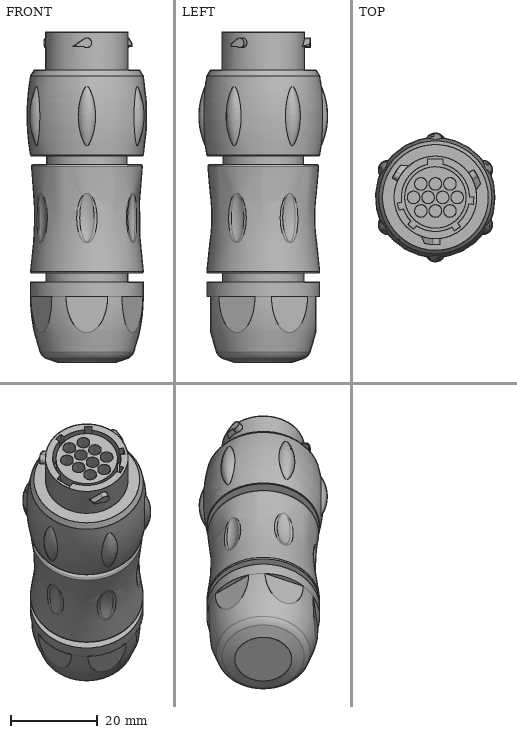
import cadquery as cq
import math


total_length = 76.0
nut_top = 18.55
grip_bottom = 20.6
grip_top = 45.55
collar_bottom = 47.6
collar_top = 67.3

nut_radius = 13.0
nut_straight_bottom = 15.2
nut_curve_radius = 38.0
nut_curve_bottom = 2.4
nut_corner_height = 1.0
nut_corner_radius = 9.4
nut_corner_bulge = 0.2
nut_end_radius = 6.55
nut_flat_distance = 12.1

grip_bottom_radius = 13.0
grip_top_radius = 12.8
grip_waist_radius = 12.1
grip_chamfer_height = 0.4
grip_chamfer_inset = 0.15
grip_top_rounding = 0.4

collar_end_radius = 13.0
collar_belly_diameter = 27.6
collar_shoulder_radius = 12.2
collar_shoulder_height = 1.4
collar_lip = 0.15

lower_neck_radius = 9.4
upper_neck_radius = 9.3
shell_radius = 9.5

grip_feature_count = 6
start_angle = 90.0

rib_axis_radius = 12.55
rib_apex_radius = 14.8
rib_half_height = 6.8
rib_end_radius = 13.4

dent_rise = 0.4
dent_rim_axis_radius = 30.4
dent_rim_apex_radius = 11.7
dent_rim_half_height = 5.55
dent_rim_end_radius = 12.25
dent_axis_radius = 15.2
dent_apex_radius = 11.4
dent_half_height = 5.3
dent_end_radius = 12.2

spindle_overrun = 1.1

insert_radius = 7.1
insert_recess = 0.4
groove_radius = 7.8
groove_depth = 6.1
keyway_radius = 8.8
main_keyway_width = 3.6
small_keyway_width = 1.7
main_keyway_angle = 90.0
small_keyway_angles = (-5.0, -55.0, 230.0, 194.0)

contact_diameter = 2.9
contact_depth = 6.1
contact_pitch = 3.35
contact_row_spacing = 3.1
contacts_per_row = (3, 4, 3)

pin_count = 3
pin_first_angle = 30.0
pin_height = 73.6
pin_diameter = 2.2
pin_radius = pin_diameter / 2
pin_reach = 10.9
pin_root = 8.4
tail_length = 3.2
tail_drop = 0.8
tail_outer_length = 2.35
tail_tip_root = 9.0


def around_axis(solid, angles):
    """Copies of a solid built on the +X side, turned to each angle about Z."""
    turned = cq.Workplane("XY")
    for angle in angles:
        turned = turned.add(solid.rotate((0, 0, 0), (0, 0, 1), angle))
    return turned.combine()


def even_angles(count, first):
    return [first + i * 360.0 / count for i in range(count)]


def spindle(axis_radius, apex_radius, half_height, end_radius, mid_height):
    """Upright barrel on the +X side, touching apex_radius at mid height and end_radius at its ends."""
    belly = abs(apex_radius - axis_radius)
    drop = belly - abs(end_radius - axis_radius)
    curve_radius = (half_height**2 + drop**2) / (2 * drop)
    overrun_height = half_height * spindle_overrun
    overrun_drop = curve_radius - math.sqrt(curve_radius**2 - overrun_height**2)
    overrun_radius = belly - overrun_drop
    return (
        cq.Workplane("XZ")
        .moveTo(0, -overrun_height)
        .lineTo(overrun_radius, -overrun_height)
        .threePointArc((belly, 0), (overrun_radius, overrun_height))
        .lineTo(0, overrun_height)
        .close()
        .revolve(360, (0, 0), (0, 1))
        .translate((axis_radius, 0, mid_height))
    )


def nut_curve(height):
    """Radius of the nut on its curved stretch, which runs tangent into the straight stretch."""
    below = nut_straight_bottom - height
    return nut_radius - nut_curve_radius + math.sqrt(nut_curve_radius**2 - below**2)


def make_body():
    """All turned surfaces in one revolved outline, from the nut up to the mating face."""
    nut_curve_middle = (nut_straight_bottom + nut_curve_bottom) / 2
    nut_curve_end = nut_curve(nut_curve_bottom)
    corner_mid_radius = (nut_curve_end + nut_corner_radius) / 2 + nut_corner_bulge / 2
    corner_mid_height = (nut_curve_bottom + nut_corner_height) / 2 - nut_corner_bulge / 2
    collar_curve_bottom = collar_bottom + collar_lip
    collar_curve_top = collar_top - collar_shoulder_height
    grip_rounding_center = grip_top_radius - grip_top_rounding
    grip_rounding_offset = grip_top_rounding * math.sin(math.radians(45))
    grip_rounding_mid_radius = grip_rounding_center + grip_rounding_offset
    grip_rounding_mid_height = grip_top - grip_top_rounding + grip_rounding_offset
    outline = (
        cq.Workplane("XZ")
        .lineTo(nut_end_radius, 0)
        .lineTo(nut_corner_radius, nut_corner_height)
        .threePointArc((corner_mid_radius, corner_mid_height), (nut_curve_end, nut_curve_bottom))
        .threePointArc(
            (nut_curve(nut_curve_middle), nut_curve_middle), (nut_radius, nut_straight_bottom)
        )
        .lineTo(nut_radius, nut_top)
        .lineTo(lower_neck_radius, nut_top)
        .lineTo(lower_neck_radius, grip_bottom)
        .lineTo(grip_bottom_radius - grip_chamfer_inset, grip_bottom)
        .lineTo(grip_bottom_radius, grip_bottom + grip_chamfer_height)
        .threePointArc(
            (grip_waist_radius, (grip_bottom + grip_top) / 2),
            (grip_top_radius, grip_top - grip_top_rounding),
        )
        .threePointArc(
            (grip_rounding_mid_radius, grip_rounding_mid_height),
            (grip_rounding_center, grip_top),
        )
        .lineTo(upper_neck_radius, grip_top)
        .lineTo(upper_neck_radius, collar_bottom)
        .lineTo(collar_end_radius - collar_lip, collar_bottom)
        .lineTo(collar_end_radius, collar_curve_bottom)
        .threePointArc(
            (collar_belly_diameter / 2, (collar_curve_bottom + collar_curve_top) / 2),
            (collar_end_radius, collar_curve_top),
        )
        .lineTo(collar_shoulder_radius, collar_top)
        .lineTo(shell_radius, collar_top)
        .lineTo(shell_radius, total_length)
        .lineTo(0, total_length)
        .close()
    )
    return outline.revolve(360, (0, 0), (0, 1))


def make_ribs():
    middle = (collar_bottom + collar_top - collar_shoulder_height) / 2
    rib = spindle(rib_axis_radius, rib_apex_radius, rib_half_height, rib_end_radius, middle)
    return around_axis(rib, even_angles(grip_feature_count, start_angle))


def cut_dents(body):
    middle = (grip_bottom + grip_top) / 2 + dent_rise
    rim = spindle(
        dent_rim_axis_radius, dent_rim_apex_radius, dent_rim_half_height, dent_rim_end_radius, middle
    )
    dish = spindle(dent_axis_radius, dent_apex_radius, dent_half_height, dent_end_radius, middle)
    for angle in even_angles(grip_feature_count, start_angle):
        body = body.cut(rim.rotate((0, 0, 0), (0, 0, 1), angle))
        body = body.cut(dish.rotate((0, 0, 0), (0, 0, 1), angle))
    return body


def make_flat_cutters():
    """Blocks that leave upright flats on the nut, below its straight rim."""
    block = cq.Workplane("XY").box(
        nut_radius, 2 * nut_radius, nut_straight_bottom, centered=(False, True, False)
    )
    block = block.translate((nut_flat_distance, 0, 0))
    return around_axis(block, even_angles(grip_feature_count, start_angle))


def make_pins():
    """Round bayonet pins with a pointed tail whose tip slants back, ending on one round outer face."""
    pin = (
        cq.Workplane("YZ", origin=(pin_root, 0, pin_height))
        .circle(pin_radius)
        .extrude(pin_reach - pin_root)
    )
    tip_distance = math.hypot(tail_length, tail_drop)
    upper_angle = math.atan2(tail_drop, tail_length) + math.asin(pin_radius / tip_distance)
    upper_length = math.sqrt(tip_distance**2 - pin_radius**2)
    tangent_point = (
        -tail_length + upper_length * math.cos(upper_angle),
        -tail_drop + upper_length * math.sin(upper_angle),
    )
    lower_point = (-math.sqrt(pin_radius**2 - tail_drop**2), -tail_drop)
    tail = (
        cq.Workplane("YZ", origin=(pin_root, 0, pin_height))
        .polyline([(-tail_length, -tail_drop), tangent_point, (0, 0), lower_point])
        .close()
        .extrude(pin_reach - pin_root)
    )
    tail_plan = (
        cq.Workplane("XY", origin=(0, 0, pin_height - pin_radius))
        .polyline(
            [
                (pin_root, 0),
                (pin_root, -tail_length),
                (tail_tip_root, -tail_length),
                (pin_reach, -tail_outer_length),
                (pin_reach, 0),
            ]
        )
        .close()
        .extrude(2 * pin_radius)
    )
    tailed_pin = pin.union(tail.intersect(tail_plan))
    outer_face = (
        cq.Workplane("XY", origin=(0, 0, pin_height - 2 * pin_radius))
        .circle(pin_reach)
        .extrude(4 * pin_radius)
    )
    return around_axis(tailed_pin.intersect(outer_face), even_angles(pin_count, pin_first_angle))


def make_keyway(width, angle):
    groove_floor = total_length - groove_depth
    slot = cq.Workplane("XY", origin=(0, 0, groove_floor)).box(
        keyway_radius, width, groove_depth, centered=(False, True, False)
    )
    return slot.rotate((0, 0, 0), (0, 0, 1), angle)


def make_socket_cutter():
    """Groove, keyways and recess that leave the contact insert standing inside the shell."""
    groove_floor = total_length - groove_depth
    socket = cq.Workplane("XY", origin=(0, 0, groove_floor)).circle(groove_radius).extrude(groove_depth)
    socket = socket.union(make_keyway(main_keyway_width, main_keyway_angle))
    for angle in small_keyway_angles:
        socket = socket.union(make_keyway(small_keyway_width, angle))
    insert = (
        cq.Workplane("XY", origin=(0, 0, groove_floor))
        .circle(insert_radius)
        .extrude(groove_depth - insert_recess)
    )
    return socket.cut(insert)


def contact_positions():
    positions = []
    for row, count in enumerate(contacts_per_row):
        y = (row - (len(contacts_per_row) - 1) / 2) * contact_row_spacing
        for column in range(count):
            positions.append(((column - (count - 1) / 2) * contact_pitch, y))
    return positions


def make_contact_holes():
    insert_top = total_length - insert_recess
    return (
        cq.Workplane("XY", origin=(0, 0, insert_top))
        .pushPoints(contact_positions())
        .circle(contact_diameter / 2)
        .extrude(-contact_depth)
    )


result = make_body().cut(make_flat_cutters())
result = cut_dents(result)
result = result.union(make_ribs()).union(make_pins())
result = result.cut(make_socket_cutter()).cut(make_contact_holes())